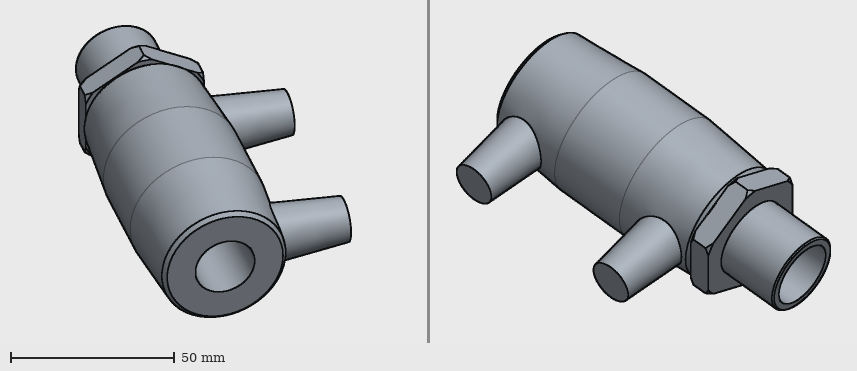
import cadquery as cq
import math

total_length = 110.0
body_section_length = 27.0
body_sections = 3
body_start = total_length - body_sections * body_section_length
nut_thickness = 7.4
nut_start = body_start - nut_thickness

pipe_diameter = 26.44
pipe_chamfer = 0.5
bore_diameter = 19.0
entry_bore_diameter = 21.15
entry_bore_depth = body_start

nut_across_flats = 38.0
nut_sides = 6
nut_across_corners = nut_across_flats / math.cos(math.pi / nut_sides)
nut_corner_chamfer = 1.2

body_radius = 22.0
body_end_radius = 19.9
body_end_chamfer = 1.3

stub_root_y = 14.0
stub_tip_y = 42.0
stub_tip_radius = 7.25
stub_taper_angle = 5.0
stub_spacing = 57.0


def revolve_about_x(points):
    """Solid of revolution about X from (x, radius) points."""
    return cq.Workplane("XY").polyline(points).close().revolve(360, (0, 0, 0), (1, 0, 0))


def make_pipe():
    pipe = cq.Workplane("YZ").circle(pipe_diameter / 2).extrude(body_start)
    return pipe.faces("<X").chamfer(pipe_chamfer)


def make_nut():
    """Hexagon with corners on +Z and -Z, trimmed conically at both faces."""
    hexagon = (
        cq.Workplane("YZ", origin=(nut_start, 0, 0))
        .transformed(rotate=(0, 0, 90))
        .polygon(nut_sides, nut_across_corners)
        .extrude(nut_thickness)
    )
    trimming_disc = (
        cq.Workplane("YZ", origin=(nut_start, 0, 0))
        .circle(nut_across_corners / 2)
        .extrude(nut_thickness)
        .edges()
        .chamfer(nut_corner_chamfer)
    )
    return hexagon.intersect(trimming_disc)


def make_body():
    """Barrel: a cylinder between two cones, with chamfered ends."""
    chamfer_radius = body_end_radius - body_end_chamfer
    return revolve_about_x([
        (body_start, 0),
        (body_start, chamfer_radius),
        (body_start + body_end_chamfer, body_end_radius),
        (body_start + body_section_length, body_radius),
        (total_length - body_section_length, body_radius),
        (total_length - body_end_chamfer, body_end_radius),
        (total_length, chamfer_radius),
        (total_length, 0),
    ])


def make_stub(x):
    """Cone frustum along +Y, rooted inside the body wall and narrowing to its tip."""
    stub_length = stub_tip_y - stub_root_y
    root_radius = stub_tip_radius + stub_length * math.tan(math.radians(stub_taper_angle))
    root_centre = cq.Vector(x, stub_root_y, 0)
    cone = cq.Solid.makeCone(root_radius, stub_tip_radius, stub_length, root_centre, cq.Vector(0, 1, 0))
    return cq.Workplane(cone)


def make_bore():
    """Through bore, widened from the pipe end as far as the body."""
    bore = cq.Workplane("YZ").circle(bore_diameter / 2).extrude(total_length)
    entry_bore = cq.Workplane("YZ").circle(entry_bore_diameter / 2).extrude(entry_bore_depth)
    return bore.union(entry_bore)


result = make_pipe().union(make_nut()).union(make_body())
body_middle = (body_start + total_length) / 2
for side in (-1, 1):
    result = result.union(make_stub(body_middle + side * stub_spacing / 2))
result = result.cut(make_bore())